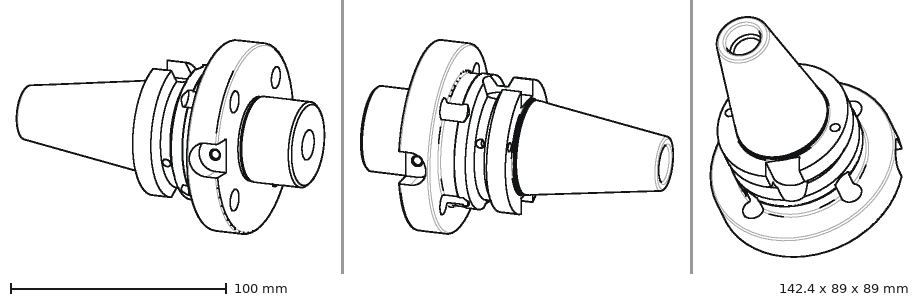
import cadquery as cq
import math

LENGTH = 142.4
DRILL_POINT = math.radians(59)

TOLERANCE = 0.01

TAPER_END = 65.2
GAUGE_DIA = 44.3
TAPER_RATIO = 7 / 24
NOSE_ROUND = 1.0
RELIEF_DEPTH = 0.1
RELIEF_RAMP = 0.4
RELIEF_FLOOR = 0.5
ROOT_ROUND = 0.5

COLLAR_DIA = 63.0
COLLAR_START = 67.5
COLLAR_END = 92.5
GROOVE_DIA = 53.4
GROOVE_X = 81.9
GROOVE_FLOOR = 4.8
GROOVE_FLANK = math.radians(60)
NECK_DIA = 62.0
NECK_ROUND = 1.0

FLANGE_DIA = 89.0
FLANGE_START = 100.4
FLANGE_END = 115.6
FLANGE_ROUND = 0.9

UNDERCUT_DIA = 39.5
UNDERCUT_END = 116.8
PILOT_DIA = 40.0
PILOT_START = 117.6
PILOT_CHAMFER = 1.1

BORE_DIA = 14.0
COUNTERBORE_DIA = 17.0
COUNTERBORE_DEPTH = 8.8

SLOT_WIDTH = 16.1
SLOT_END = 88.6
SLOT_FLOOR = 22.5
POCKET_START = 102.0
POCKET_FLOOR = 33.2
SCREW_HOLE_DIA = 4.1
SCREW_HOLE_MOUTH_DIA = 5.3
SCREW_HOLE_DEPTH = 10.0

BOLT_HOLE_DIA = 10.1
BOLT_CIRCLE_DIA = 66.6
BOLT_ANGLES = (45, 135, 225, 315)
BOLT_HOLE_BOTTOM = 90.1

RADIAL_HOLE_DIA = 4.0
SLOPING_HOLE_DIA = 4.1
COOLANT_ANGLE = 20.0
COOLANT_ENTRY = 26.9
COOLANT_SLOPE = math.radians(30)


def revolve_profile(points):
    """Revolve (x, radius) points around the X axis."""
    return cq.Workplane("XY").polyline(points).close().revolve(360, (0, 0, 0), (1, 0, 0))


def drill(start, direction, diameter, depth):
    """Blind hole with a conical tip; depth is measured to the full diameter."""
    radius = diameter / 2
    tip = depth + radius / math.tan(DRILL_POINT)
    profile = [(0, 0), (radius, 0), (radius, depth), (0, tip)]
    tool = cq.Workplane("XZ").polyline(profile).close().revolve(360, (0, 0, 0), (0, 1, 0))
    place = cq.Plane(origin=start, normal=direction)
    return cq.Workplane(obj=tool.val().moved(cq.Location(place)))


def turned_body():
    gauge = GAUGE_DIA / 2
    nose = gauge - TAPER_RATIO * TAPER_END / 2
    relief = gauge - RELIEF_DEPTH
    collar = COLLAR_DIA / 2
    flange = FLANGE_DIA / 2
    pilot = PILOT_DIA / 2
    floor = GROOVE_FLOOR / 2
    groove_wall = floor + (collar - GROOVE_DIA / 2) / math.tan(GROOVE_FLANK)
    return revolve_profile([
        (0, 0),
        (0, nose),
        (TAPER_END, gauge),
        (TAPER_END + RELIEF_RAMP, relief),
        (TAPER_END + RELIEF_RAMP + RELIEF_FLOOR, relief),
        (TAPER_END + 2 * RELIEF_RAMP + RELIEF_FLOOR, gauge),
        (COLLAR_START, gauge),
        (COLLAR_START, collar),
        (GROOVE_X - groove_wall, collar),
        (GROOVE_X - floor, GROOVE_DIA / 2),
        (GROOVE_X + floor, GROOVE_DIA / 2),
        (GROOVE_X + groove_wall, collar),
        (COLLAR_END, collar),
        (COLLAR_END, NECK_DIA / 2),
        (FLANGE_START, NECK_DIA / 2),
        (FLANGE_START, flange),
        (FLANGE_END, flange),
        (FLANGE_END, UNDERCUT_DIA / 2),
        (UNDERCUT_END, UNDERCUT_DIA / 2),
        (PILOT_START, pilot),
        (LENGTH - PILOT_CHAMFER, pilot),
        (LENGTH, pilot - PILOT_CHAMFER),
        (LENGTH, 0),
    ])


def round_rim(body, x, diameter, radius):
    """Fillet the circular edge of the given diameter that lies at x."""
    def on_rim(edge):
        box = edge.BoundingBox()
        width = max(box.ylen, box.zlen)
        at_x = box.xlen < TOLERANCE and abs(box.xmin - x) < TOLERANCE
        return at_x and abs(width - diameter) < TOLERANCE

    rim = [edge for edge in body.edges().vals() if on_rim(edge)]
    return body.newObject(rim).fillet(radius)


def bore():
    """Through bore with a counterbore at the nose that ends in a drill-point step."""
    step_length = (COUNTERBORE_DIA - BORE_DIA) / 2 / math.tan(DRILL_POINT)
    return revolve_profile([
        (0, 0),
        (0, COUNTERBORE_DIA / 2),
        (COUNTERBORE_DEPTH, COUNTERBORE_DIA / 2),
        (COUNTERBORE_DEPTH + step_length, BORE_DIA / 2),
        (LENGTH, BORE_DIA / 2),
        (LENGTH, 0),
    ])


def round_ended_slot(closed_end, open_end, floor):
    """Slot along X, cut from above down to Z = floor, with a full round at closed_end."""
    half = SLOT_WIDTH / 2
    center = closed_end + math.copysign(half, open_end - closed_end)
    return (
        cq.Workplane("XY")
        .workplane(offset=floor)
        .moveTo(open_end, half)
        .lineTo(center, half)
        .threePointArc((closed_end, 0), (center, -half))
        .lineTo(open_end, -half)
        .close()
        .extrude(FLANGE_DIA / 2)
    )


def flange_pocket():
    """Pocket with its screw hole, built on the +Z side."""
    center = (POCKET_START + SLOT_WIDTH / 2, 0, POCKET_FLOOR)
    lead_in = (SCREW_HOLE_MOUTH_DIA - SCREW_HOLE_DIA) / 2
    hole = drill(center, (0, 0, -1), SCREW_HOLE_DIA, SCREW_HOLE_DEPTH)
    mouth = cq.Workplane(obj=cq.Solid.makeCone(
        SCREW_HOLE_MOUTH_DIA / 2, SCREW_HOLE_DIA / 2, lead_in,
        pnt=cq.Vector(center), dir=cq.Vector(0, 0, -1)))
    return round_ended_slot(POCKET_START, FLANGE_END, POCKET_FLOOR).union(hole).union(mouth)


def coolant_holes():
    """Sloping hole from the collar face and, meeting it, a radial hole from the groove, on the +Y side."""
    run = GROOVE_X - COLLAR_START
    meeting_radius = COOLANT_ENTRY - run * math.tan(COOLANT_SLOPE)
    slope = (math.cos(COOLANT_SLOPE), -math.sin(COOLANT_SLOPE), 0)
    lead = SLOPING_HOLE_DIA
    start = (COLLAR_START - lead * slope[0], COOLANT_ENTRY - lead * slope[1], 0)
    sloping = drill(start, slope, SLOPING_HOLE_DIA, lead + run / math.cos(COOLANT_SLOPE))
    mouth = COLLAR_DIA / 2
    radial = drill((GROOVE_X, mouth, 0), (0, -1, 0), RADIAL_HOLE_DIA, mouth - meeting_radius)
    return sloping, radial


def around_axis(tool, angle):
    return tool.rotate((0, 0, 0), (1, 0, 0), angle)


result = turned_body().cut(bore())
result = result.faces("<X").edges().fillet(NOSE_ROUND)
result = round_rim(result, COLLAR_START, GAUGE_DIA, ROOT_ROUND)
result = round_rim(result, FLANGE_START, NECK_DIA, NECK_ROUND)
for face in (FLANGE_START, FLANGE_END):
    result = round_rim(result, face, FLANGE_DIA, FLANGE_ROUND)

for side in (0, 180):
    result = result.cut(around_axis(round_ended_slot(SLOT_END, COLLAR_START, SLOT_FLOOR), side))
    result = result.cut(around_axis(flange_pocket(), side + 90))
    for hole in coolant_holes():
        result = result.cut(around_axis(hole, side + COOLANT_ANGLE))

bolt_hole = drill((FLANGE_END, BOLT_CIRCLE_DIA / 2, 0), (-1, 0, 0),
                  BOLT_HOLE_DIA, FLANGE_END - BOLT_HOLE_BOTTOM)
for angle in BOLT_ANGLES:
    result = result.cut(around_axis(bolt_hole, angle))